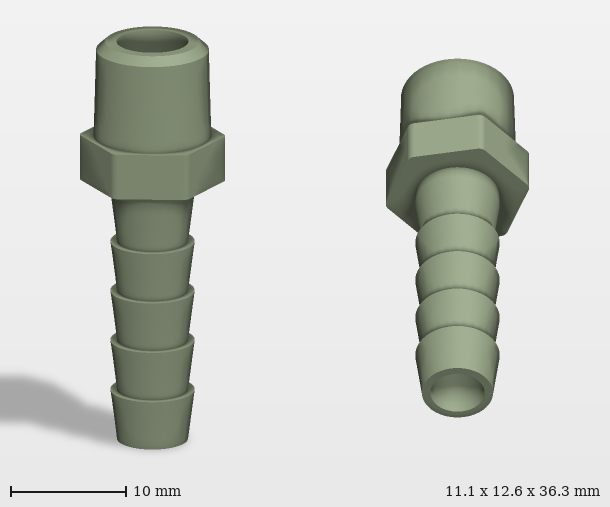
import cadquery as cq

total_length = 36.27
barb_count = 5
barb_zone_length = 22.55
barb_pitch = barb_zone_length / barb_count
collar_length = 1.1
hex_height = 4.05
hex_bottom = barb_zone_length + collar_length
hex_top = hex_bottom + hex_height

barb_tip_radius = 3.1
barb_crest_radius = 3.65

hex_across_flats = 11.1
hex_corner_radius = 0.73

taper_base_radius = 5.1
taper_end_radius = 4.9
end_face_radius = 4.1
end_chamfer_height = 0.73

hose_bore_radius = 2.35
wide_bore_radius = 3.12
wide_bore_depth = total_length - hex_top


def make_hose_tail():
    """Stacked barbs that widen upwards, closed by a plain collar under the hexagon."""
    profile = cq.Workplane("XZ").lineTo(barb_tip_radius, 0)
    for index in range(barb_count):
        crest_z = (index + 1) * barb_pitch
        profile = profile.lineTo(barb_crest_radius, crest_z)
        if index < barb_count - 1:
            profile = profile.lineTo(barb_tip_radius, crest_z)
    profile = profile.lineTo(barb_crest_radius, hex_bottom).lineTo(0, hex_bottom).close()
    return profile.revolve(360, (0, 0, 0), (0, 1, 0))


def make_hexagon():
    """Hexagonal wrench section with rounded vertical edges."""
    return (
        cq.Workplane("XY")
        .workplane(offset=hex_bottom)
        .polygon(6, hex_across_flats, circumscribed=True)
        .extrude(hex_height)
        .edges("|Z")
        .fillet(hex_corner_radius)
    )


def make_tapered_end():
    """Slightly conical end with a chamfered rim."""
    return (
        cq.Workplane("XZ")
        .moveTo(0, hex_top)
        .lineTo(taper_base_radius, hex_top)
        .lineTo(taper_end_radius, total_length - end_chamfer_height)
        .lineTo(end_face_radius, total_length)
        .lineTo(0, total_length)
        .close()
        .revolve(360, (0, 0, 0), (0, 1, 0))
    )


def make_bore():
    """Through bore with a wider section inside the tapered end."""
    hose_bore = cq.Workplane("XY").circle(hose_bore_radius).extrude(total_length)
    wide_bore = (
        cq.Workplane("XY")
        .workplane(offset=total_length - wide_bore_depth)
        .circle(wide_bore_radius)
        .extrude(wide_bore_depth)
    )
    return hose_bore.union(wide_bore)


body = make_hose_tail().union(make_hexagon()).union(make_tapered_end())
result = body.cut(make_bore())